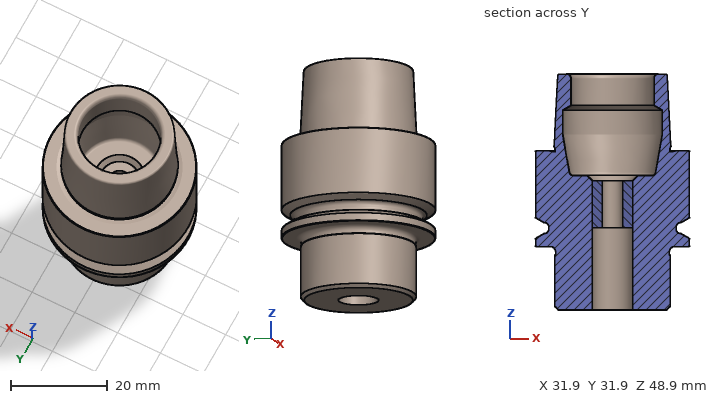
import cadquery as cq
import math

overall_length = 48.9
edge_break = 0.15

nose_radius = 12.0
nose_top = 11.5
nose_chamfer = 0.75
neck_radius = nose_radius - edge_break
neck_fillet = 1.1

flange_diameter = 31.95
flange_radius = flange_diameter / 2
flange_bottom = 13.1
flange_top = 33.0
groove_center = 16.95
groove_root_radius = 13.25
groove_root_half_width = 0.25
groove_fillet = 0.85
groove_shoulder_radius = 14.2
groove_flank_angle = 30.0

relief_outer_radius = 13.05
relief_floor_radius = 12.3
relief_depth = 0.2
relief_root_radius = 11.95
undercut_rise = 0.3

taper_foot = 33.9
taper_foot_radius = 12.15
taper_slope = 1 / 20
taper_rim_fillet = 0.45

bore_radius = 8.55
mouth_rounding = 0.8
mouth_cone_angle = 25.0
mouth_cone_height = 0.2
lip_bottom = overall_length - 6.55
chamber_radius = 10.25
chamber_flank_angle = 30.0
chamber_wall_bottom = overall_length - 12.55
chamber_taper_angle = 10.0
chamber_floor_radius = 8.15
chamber_floor_fillet = 0.75

wall_tilt = math.radians(chamber_taper_angle)
fillet_outer_radius = chamber_floor_radius + chamber_floor_fillet * math.cos(wall_tilt)
fillet_top = chamber_wall_bottom - (chamber_radius - fillet_outer_radius) / math.tan(wall_tilt)
fillet_center = fillet_top + chamber_floor_fillet * math.sin(wall_tilt)
chamber_floor = fillet_center - chamber_floor_fillet

passage_radius = 4.15
countersink_radius = 5.25
countersink_depth = 1.1
plug_top = chamber_floor - countersink_depth
plug_length = 9.8
plug_hole_radius = 2.1


def arc_point(center, radius, degrees):
    """Point on a circle in the radius-height plane; 0 degrees points outward and 90 degrees up."""
    angle = math.radians(degrees)
    return center[0] + radius * math.cos(angle), center[1] + radius * math.sin(angle)


def spin(outline):
    """Close an outline that starts and ends on the axis and revolve it about Z."""
    return outline.close().revolve(360, (0, 0, 0), (0, 1, 0))


def add_nose(outline):
    """Continue the outline from the axis, up the nose and its neck, to the lower rim of the flange."""
    neck_center = (neck_radius + neck_fillet, flange_bottom - neck_fillet)
    return (
        outline
        .lineTo(nose_radius - nose_chamfer, 0)
        .lineTo(nose_radius, nose_chamfer)
        .lineTo(nose_radius, nose_top - edge_break)
        .lineTo(neck_radius, nose_top)
        .lineTo(neck_radius, flange_bottom - neck_fillet)
        .threePointArc(
            arc_point(neck_center, neck_fillet, 135),
            arc_point(neck_center, neck_fillet, 90),
        )
        .lineTo(flange_radius - edge_break, flange_bottom)
        .lineTo(flange_radius, flange_bottom + edge_break)
    )


def add_groove(outline):
    """Continue the outline from the lower rim of the flange, through the groove, to its upper rim."""
    flank_outer_radius = flange_radius - edge_break
    flank_rise = (flank_outer_radius - groove_shoulder_radius) * math.tan(math.radians(groove_flank_angle))
    shoulder = groove_root_half_width + groove_fillet
    rim = shoulder + flank_rise
    center_radius = groove_root_radius + groove_fillet
    lower_center = (center_radius, groove_center - groove_root_half_width)
    upper_center = (center_radius, groove_center + groove_root_half_width)
    return (
        outline
        .lineTo(flange_radius, groove_center - rim - edge_break)
        .lineTo(flank_outer_radius, groove_center - rim)
        .lineTo(groove_shoulder_radius, groove_center - shoulder)
        .lineTo(center_radius, groove_center - shoulder)
        .threePointArc(
            arc_point(lower_center, groove_fillet, 225),
            arc_point(lower_center, groove_fillet, 180),
        )
        .lineTo(groove_root_radius, groove_center + groove_root_half_width)
        .threePointArc(
            arc_point(upper_center, groove_fillet, 135),
            arc_point(upper_center, groove_fillet, 90),
        )
        .lineTo(groove_shoulder_radius, groove_center + shoulder)
        .lineTo(flank_outer_radius, groove_center + rim)
        .lineTo(flange_radius, groove_center + rim + edge_break)
    )


def add_shank(outline):
    """Continue the outline from the upper rim of the flange, over its relief and the taper, to the axis."""
    taper_end = overall_length - taper_rim_fillet
    taper_end_radius = taper_foot_radius - (taper_end - taper_foot) * taper_slope
    rim_center = (taper_end_radius - taper_rim_fillet, taper_end)
    return (
        outline
        .lineTo(flange_radius, flange_top - edge_break)
        .lineTo(flange_radius - edge_break, flange_top)
        .lineTo(relief_outer_radius, flange_top)
        .lineTo(relief_floor_radius, flange_top - relief_depth)
        .lineTo(relief_root_radius, flange_top - relief_depth)
        .lineTo(relief_root_radius, flange_top + undercut_rise)
        .lineTo(taper_foot_radius, taper_foot)
        .lineTo(taper_end_radius, taper_end)
        .threePointArc(
            arc_point(rim_center, taper_rim_fillet, 45),
            arc_point(rim_center, taper_rim_fillet, 90),
        )
        .lineTo(0, overall_length)
    )


def make_holder_blank():
    outline = cq.Workplane("XZ").moveTo(0, 0)
    return spin(add_shank(add_groove(add_nose(outline))))


def add_bore_mouth(outline):
    """Continue the outline into the bore: two equal roundings joined by a short cone tangent to both."""
    cone_run = mouth_cone_height * math.tan(math.radians(mouth_cone_angle))
    lower_center_radius = bore_radius + mouth_rounding
    mouth_radius = lower_center_radius + cone_run
    upper_center = (mouth_radius, overall_length - mouth_rounding)
    lower_center = (lower_center_radius, overall_length - mouth_rounding - mouth_cone_height)
    return (
        outline
        .lineTo(mouth_radius, overall_length)
        .threePointArc(
            arc_point(upper_center, mouth_rounding, 135 - mouth_cone_angle / 2),
            arc_point(upper_center, mouth_rounding, 180 - mouth_cone_angle),
        )
        .lineTo(*arc_point(lower_center, mouth_rounding, 180 - mouth_cone_angle))
        .threePointArc(
            arc_point(lower_center, mouth_rounding, 180 - mouth_cone_angle / 2),
            arc_point(lower_center, mouth_rounding, 180),
        )
    )


def make_clamping_bore():
    flank_drop = (chamber_radius - bore_radius) * math.tan(math.radians(chamber_flank_angle))
    floor_center = (chamber_floor_radius, fillet_center)
    outline = (
        add_bore_mouth(cq.Workplane("XZ").moveTo(0, overall_length))
        .lineTo(bore_radius, lip_bottom)
        .lineTo(chamber_radius, lip_bottom - flank_drop)
        .lineTo(chamber_radius, chamber_wall_bottom)
        .lineTo(fillet_outer_radius, fillet_top)
        .threePointArc(
            arc_point(floor_center, chamber_floor_fillet, -(90 + chamber_taper_angle) / 2),
            arc_point(floor_center, chamber_floor_fillet, -90),
        )
        .lineTo(countersink_radius, chamber_floor)
        .lineTo(passage_radius, plug_top)
        .lineTo(passage_radius, 0)
        .lineTo(0, 0)
    )
    return spin(outline)


def make_plug():
    return (
        cq.Workplane("XY", origin=(0, 0, plug_top - plug_length))
        .circle(passage_radius)
        .circle(plug_hole_radius)
        .extrude(plug_length)
    )


holder = make_holder_blank().cut(make_clamping_bore())
plug = make_plug()
result = cq.Compound.makeCompound([holder.val(), plug.val()])